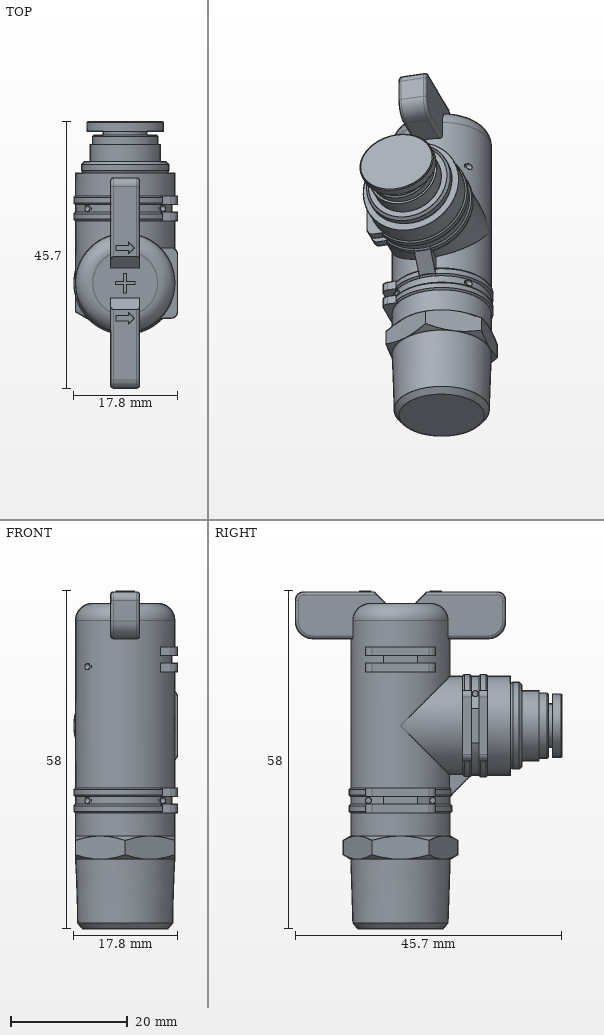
import cadquery as cq
import math

body_radius = 8.5
body_top = 55.8
dome_radius = 2.95
branch_height = 34.8
branch_end = 18.85

stub_tip_radius = 7.3
stub_low_radius = 8.15
stub_chamfer_height = 1.05
hex_bottom = 11.9
hex_height = 4.1
hex_end_radius = 8.4
hex_chamfer_angle = math.radians(30)

collar_radius = 7.5
collar_end = 20.8
collar_front_chamfer = 0.45
collar_back_chamfer_depth = 0.25
collar_back_chamfer_length = 0.45
sleeve_radius = 6.0
sleeve_end = 23.75
lip_radius = 5.6
lip_end = 25.4
lip_chamfer = 0.3
neck_radius = 3.75
release_start = 26.0
release_end = 27.7
release_half_width = 6.55
release_half_height = 5.45
release_chamfer = 0.2

clip_distance = 12.8
main_clip_height = branch_height - clip_distance
upper_clip_height = 46.2
clip_pitch = 2.8
clip_thickness = 1.5
ring_crest_radius = 8.8
plate_reach = 9.0
plate_half_width = 6.0
plate_corner_radius = 1.1
clip_flat_reach = 8.0

pin_hole_radius = 0.5
pin_hole_offset = 5.5
pin_hole_depth = 0.7
upper_pin_height = 44.95

gusset_leg = 20.6
gusset_thickness = 2.9

handle_bottom = 49.7
handle_top = 57.8
handle_reach = 18.0
handle_width = 5.0
handle_gap = 2.55
handle_low_corner = 3.0
handle_high_corner = 1.45
handle_edge_fillet = 0.5

arrow_top = 57.95
arrow_place = 6.0
arrow_length = 3.15
arrow_head_length = 1.0
arrow_head_width = 1.95
arrow_shaft_width = 0.85
cross_length = 3.35
cross_width = 0.5
cross_depth = 0.3


def on_branch(shape):
    """Move a shape built about the Z axis at the origin onto the branch axis."""
    return shape.rotate((0, 0, 0), (1, 0, 0), -90).translate((0, 0, branch_height))


def revolve_profile(points):
    """Solid of revolution about Z from (radius, height) points, with its seam on the -Y side."""
    solid = cq.Workplane("XZ").polyline(points).close().revolve(360, (0, 0, 0), (0, 1, 0))
    return solid.rotate((0, 0, 0), (0, 0, 1), -90)


def ring_pair_outline(clip_center):
    """(radius, height) points, going up, of the two rings of a clip, with 45 degree flanks."""
    flank = ring_crest_radius - body_radius
    half = clip_thickness / 2
    points = []
    for ring_center in (clip_center - clip_pitch / 2, clip_center + clip_pitch / 2):
        points += [
            (body_radius, ring_center - half),
            (ring_crest_radius, ring_center - half + flank),
            (ring_crest_radius, ring_center + half - flank),
            (body_radius, ring_center + half),
        ]
    return points


def make_stub_and_body():
    outline = [
        (0, 0),
        (stub_tip_radius, 0),
        (stub_low_radius, stub_chamfer_height),
        (body_radius, hex_bottom),
        *ring_pair_outline(main_clip_height),
        (body_radius, body_top),
        (0, body_top),
    ]
    return revolve_profile(outline).faces(">Z").edges().fillet(dome_radius)


def make_hex():
    corner_radius = body_radius / math.cos(math.pi / 6)
    corner_drop = (corner_radius - hex_end_radius) * math.tan(hex_chamfer_angle)
    prism = (
        cq.Workplane("XY").polygon(6, 2 * corner_radius).extrude(hex_height)
        .rotate((0, 0, 0), (0, 0, 1), 30)
    )
    double_cone = revolve_profile([
        (0, 0),
        (hex_end_radius, 0),
        (corner_radius, corner_drop),
        (corner_radius, hex_height - corner_drop),
        (hex_end_radius, hex_height),
        (0, hex_height),
    ])
    return prism.intersect(double_cone).translate((0, 0, hex_bottom))


def make_branch():
    barrel_and_connector = revolve_profile([
        (0, 0),
        (body_radius, 0),
        *ring_pair_outline(clip_distance),
        (body_radius, branch_end),
        (collar_radius - collar_back_chamfer_depth, branch_end),
        (collar_radius, branch_end + collar_back_chamfer_length),
        (collar_radius, collar_end - collar_front_chamfer),
        (collar_radius - collar_front_chamfer, collar_end),
        (sleeve_radius, collar_end),
        (sleeve_radius, sleeve_end),
        (lip_radius, sleeve_end),
        (lip_radius, lip_end - lip_chamfer),
        (lip_radius - lip_chamfer, lip_end),
        (neck_radius, lip_end),
        (neck_radius, release_start),
        (0, release_start),
    ])
    release = (
        cq.Workplane("XY").workplane(offset=release_start)
        .ellipse(release_half_width, release_half_height)
        .extrude(release_end - release_start)
        .faces(">Z").edges().chamfer(release_chamfer)
    )
    return barrel_and_connector.union(release)


def make_gusset():
    root = body_radius / 2
    corner = cq.Workplane("YZ").polyline([
        (root, branch_height - root),
        (gusset_leg - root, branch_height - root),
        (root, branch_height - gusset_leg + root),
    ])
    return corner.close().extrude(gusset_thickness / 2, both=True)


def make_clip_gap():
    """Cutter for the flat between the two plates of a clip centred at the origin."""
    depth = plate_reach - clip_flat_reach
    return (
        cq.Workplane("XY")
        .box(depth, 2 * plate_half_width, clip_pitch - clip_thickness, centered=(False, True, True))
        .translate((clip_flat_reach, 0, 0))
    )


def make_plates():
    """Pair of rounded plates on the +X side of a clip centred at the origin."""
    plate = (
        cq.Workplane("XY")
        .box(plate_reach, 2 * plate_half_width, clip_thickness, centered=(False, True, True))
        .edges("|Z and >X").fillet(plate_corner_radius)
    )
    return plate.translate((0, 0, clip_pitch / 2)).union(plate.translate((0, 0, -clip_pitch / 2)))


def make_pin_hole(side_x, side_y):
    """Cutter along X that enters a cylinder about Z at the given side of its axis."""
    surface_x = math.sqrt(body_radius ** 2 - pin_hole_offset ** 2)
    hole = (
        cq.Workplane("YZ").workplane(offset=surface_x - pin_hole_depth)
        .center(side_y * pin_hole_offset, 0)
        .circle(pin_hole_radius).extrude(2 * pin_hole_depth)
    )
    return hole if side_x > 0 else hole.mirror("YZ")


def make_handle_half():
    """Handle half on the +Y side, sloping at 45 degrees toward the axis."""
    half = (
        cq.Workplane("XY").workplane(offset=handle_bottom)
        .rect(handle_width, 2 * handle_reach).extrude(handle_top - handle_bottom)
        .edges("|X and >Y and <Z").fillet(handle_low_corner)
        .edges("|X and >Y and >Z").fillet(handle_high_corner)
        .faces("<X or >X").edges("not <Y").fillet(handle_edge_fillet)
    )
    slope_top = handle_gap + handle_top - body_top
    slope_bottom = handle_gap + handle_bottom - body_top
    keep = (
        cq.Workplane("YZ").polyline([
            (slope_bottom, handle_bottom),
            (slope_top, handle_top),
            (handle_reach, handle_top),
            (handle_reach, handle_bottom),
        ])
        .close().extrude(handle_width, both=True)
    )
    return half.intersect(keep)


def make_arrow(place_y):
    """Raised arrow pointing toward +X on top of the handle."""
    tip = arrow_length / 2
    neck = tip - arrow_head_length
    return (
        cq.Workplane("XY").workplane(offset=handle_top - handle_edge_fillet)
        .center(0, place_y)
        .polyline([
            (-tip, -arrow_shaft_width / 2),
            (neck, -arrow_shaft_width / 2),
            (neck, -arrow_head_width / 2),
            (tip, 0),
            (neck, arrow_head_width / 2),
            (neck, arrow_shaft_width / 2),
            (-tip, arrow_shaft_width / 2),
        ])
        .close().extrude(arrow_top - handle_top + handle_edge_fillet)
    )


def make_cross():
    cut_start = body_top - cross_depth
    bar = cq.Workplane("XY").workplane(offset=cut_start).rect(cross_length, cross_width).extrude(cross_depth)
    return bar.union(bar.rotate((0, 0, 0), (0, 0, 1), 90))


body = make_stub_and_body().union(make_hex()).union(make_gusset())
for clip_height in (main_clip_height, upper_clip_height):
    body = body.cut(make_clip_gap().translate((0, 0, clip_height)))
    body = body.union(make_plates().translate((0, 0, clip_height)))

for side_y in (-1, 1):
    body = body.cut(make_pin_hole(-1, side_y).translate((0, 0, upper_pin_height)))
    for side_x in (-1, 1):
        body = body.cut(make_pin_hole(side_x, side_y).translate((0, 0, main_clip_height)))

handle = make_handle_half()
body = body.union(handle).union(handle.mirror("XZ"))
for place_y in (-arrow_place, arrow_place):
    body = body.union(make_arrow(place_y))
body = body.cut(make_cross())

branch = make_branch()
branch = branch.cut(make_clip_gap().translate((0, 0, clip_distance)))
branch = branch.union(make_plates().translate((0, 0, clip_distance)))
for side_x in (-1, 1):
    branch = branch.cut(make_pin_hole(side_x, -1).translate((0, 0, clip_distance)))

result = body.union(on_branch(branch))